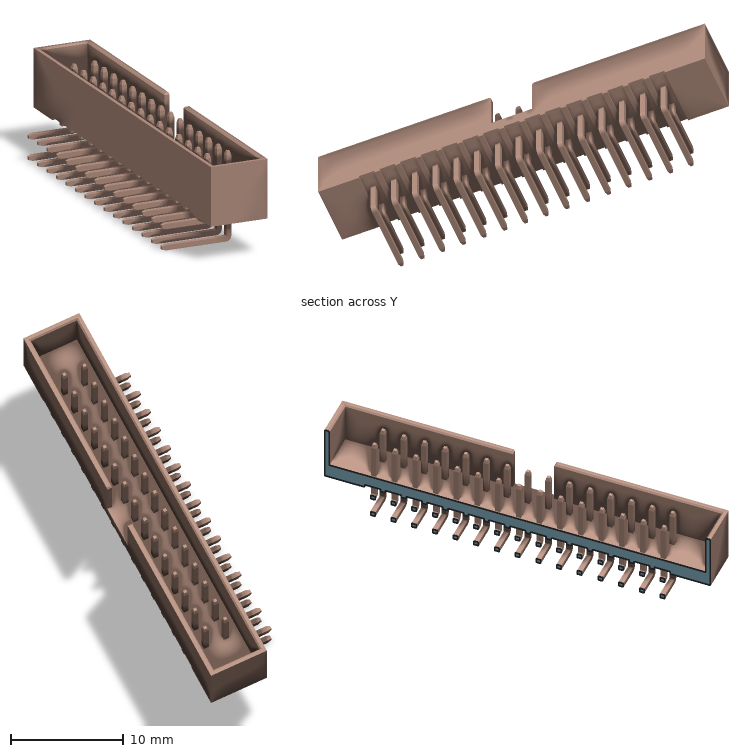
import cadquery as cq

LENGTH = 37.35
DEPTH = 5.55
HEIGHT = 5.6
WALL = 0.5
FLOOR = 1.5
RIM_CHAMFER = 0.15
NOTCH_WIDTH = 4.0

PIN_COUNT = 15
PIN_SPAN = 28.0
PIN_PITCH = PIN_SPAN / (PIN_COUNT - 1)
PIN_WIDTH = 0.5
PIN_TOP = 5.23
ROW_SHIFT = 0.05
PIN_REACH = 2.73
INSIDE_BEND_RADIUS = 0.1
OUTSIDE_BEND_RADIUS = PIN_WIDTH
TIP_LENGTH = 0.37
TIP_WIDTH = 0.3
UPPER_TAIL_DROP = 0.97
LOWER_TAIL_DROP = UPPER_TAIL_DROP + PIN_PITCH

GROOVE_WIDTH = 1.5
GROOVE_DEPTH = 0.25

FRONT = -DEPTH / 2
BACK = DEPTH / 2


def rim_mouth(x_size, y_size, y_centre):
    """Flared cutter that bevels the top edges of a rectangular opening."""
    return (
        cq.Workplane("XY")
        .workplane(offset=HEIGHT - RIM_CHAMFER)
        .center(0, y_centre)
        .rect(x_size, y_size)
        .workplane(offset=RIM_CHAMFER)
        .rect(x_size + 2 * RIM_CHAMFER, y_size + 2 * RIM_CHAMFER)
        .loft(ruled=True)
    )


def make_housing():
    """Box with a pocket, a keying notch in the back wall and a chamfered rim around both."""
    outer = cq.Workplane("XY").box(LENGTH, DEPTH, HEIGHT, centered=(True, True, False))
    pocket_length = LENGTH - 2 * WALL
    pocket_depth = DEPTH - 2 * WALL
    rim_plane = cq.Workplane("XY").workplane(offset=HEIGHT)
    pocket = rim_plane.rect(pocket_length, pocket_depth).extrude(FLOOR - HEIGHT)
    notch_depth = 4 * WALL
    notch = rim_plane.center(0, BACK).rect(NOTCH_WIDTH, notch_depth).extrude(FLOOR - HEIGHT)
    pocket_rim = rim_mouth(pocket_length, pocket_depth, 0)
    notch_rim = rim_mouth(NOTCH_WIDTH, notch_depth, BACK)
    return outer.cut(pocket).cut(notch).cut(pocket_rim).cut(notch_rim)


def make_groove(x):
    """Shallow groove across the housing bottom around one pin column."""
    return cq.Workplane("XY").center(x, 0).rect(GROOVE_WIDTH, DEPTH).extrude(GROOVE_DEPTH)


def make_tip(plane):
    """Square taper that ends a pin, growing along the normal of the plane."""
    return (
        cq.Workplane(plane)
        .rect(PIN_WIDTH, PIN_WIDTH)
        .workplane(offset=TIP_LENGTH)
        .rect(TIP_WIDTH, TIP_WIDTH)
        .loft(ruled=True)
    )


def make_pin(y, tail_drop):
    """L-shaped pin at X = 0 whose contact stands at y and whose tail runs to the front."""
    half = PIN_WIDTH / 2
    contact_end = PIN_TOP - TIP_LENGTH
    tail_end = FRONT - PIN_REACH + TIP_LENGTH
    wire = (
        cq.Workplane("YZ")
        .moveTo(y + half, contact_end)
        .lineTo(y + half, -tail_drop - half)
        .lineTo(tail_end, -tail_drop - half)
        .lineTo(tail_end, -tail_drop + half)
        .lineTo(y - half, -tail_drop + half)
        .lineTo(y - half, contact_end)
        .close()
        .extrude(half, both=True)
    )
    inside_corner = cq.selectors.NearestToPointSelector((0, y - half, -tail_drop + half))
    outside_corner = cq.selectors.NearestToPointSelector((0, y + half, -tail_drop - half))
    wire = wire.edges(outside_corner).fillet(OUTSIDE_BEND_RADIUS)
    wire = wire.edges(inside_corner).fillet(INSIDE_BEND_RADIUS)
    contact_tip = make_tip(cq.Plane((0, y, contact_end), (1, 0, 0), (0, 0, 1)))
    tail_tip = make_tip(cq.Plane((0, tail_end, -tail_drop), (1, 0, 0), (0, -1, 0)))
    return wire.union(contact_tip).union(tail_tip)


result = make_housing()
front_pin = make_pin(ROW_SHIFT - PIN_PITCH / 2, UPPER_TAIL_DROP)
back_pin = make_pin(ROW_SHIFT + PIN_PITCH / 2, LOWER_TAIL_DROP)
for column in range(PIN_COUNT):
    x = column * PIN_PITCH - PIN_SPAN / 2
    result = result.cut(make_groove(x))
    result = result.union(front_pin.translate((x, 0, 0)))
    result = result.union(back_pin.translate((x, 0, 0)))